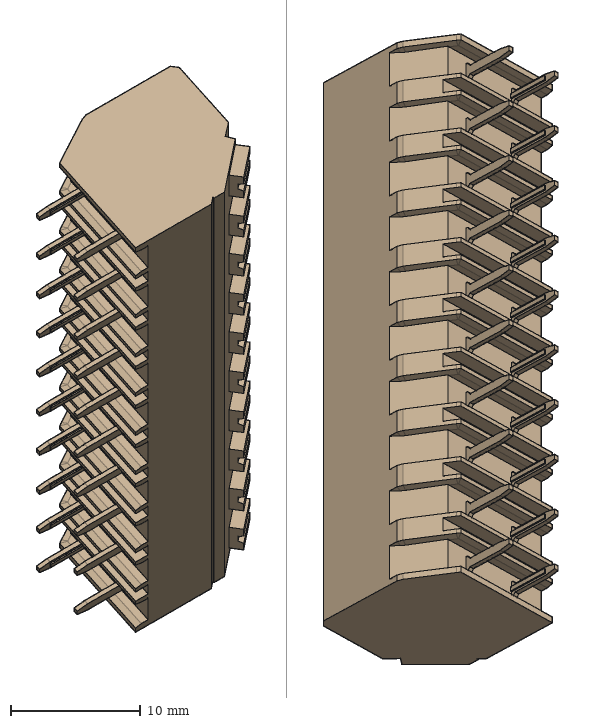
import cadquery as cq
import math

LENGTH = 49.9
WIDTH = 12.7
DEPTH = 12.95
POLE_COUNT = 10
END_DISTANCE = 2.1
PITCH = (LENGTH - 2 * END_DISTANCE) / (POLE_COUNT - 1)

BEVEL_CORNER = [(0, 4.4), (0.175, 3.9), (2.4, 0.3), (2.6, 0)]

BACK_CHAMFER = 0.5
LEVER_SEAT = (8.65, 12.45)
NOTCH_BOTTOM = (8.0, 11.95)
NOTCH_BACK = (7.05, DEPTH)
SLOPE_END = (12.35, 8.75)
STEP_TOP = 7.75
STEP_BOTTOM = 7.25
STEP_INNER_X = WIDTH - (STEP_TOP - STEP_BOTTOM)

FLOOR_Y = 1.2
POCKET_FRONT_X = 2.4
POCKET_SIDE_Y = 5.25
POCKET_HEIGHT = 3.1
WALL_CHAMFER_HEIGHT = 0.15
WALL_CHAMFER_WIDTH = 0.55
GROOVE_HEIGHT = 1.2

LEVER_ANGLE = -45.0
LEVER_LENGTH = 3.0
LEVER_RISE = 1.15
LEVER_ROOT = 0.25
LEVER_HEIGHT = 2.7
SLOT_DEPTH = 0.45
SLOT_TOP_WIDTH = 0.95
SLOT_FLOOR_WIDTH = 0.55

PIN_OUTER_FACES = [(4.4, 1), (9.8, -1)]
PIN_ROOT_Y = 1.7
PIN_FOOT_Y = 1.05
PIN_NECK_Y = 0.8
PIN_TAPER_Y = -2.5
PIN_TIP_Y = -3.5
PIN_THICKNESS = 0.4
PIN_FOOT_HEIGHT = 1.45
PIN_HEIGHT = 0.8
PIN_TIP_HEIGHT = 0.45
RIB_THICKNESS = 0.125
RIB_HEIGHT = 0.4

MARGIN = 2.0

pole_heights = [END_DISTANCE + i * PITCH for i in range(POLE_COUNT)]
groove_heights = [z + PITCH / 2 for z in pole_heights[:-1]]


def make_housing():
    outline = BEVEL_CORNER + [
        (WIDTH, 0),
        (WIDTH, STEP_BOTTOM),
        (STEP_INNER_X, STEP_TOP),
        (SLOPE_END[0], STEP_TOP),
        SLOPE_END,
        LEVER_SEAT,
        NOTCH_BOTTOM,
        NOTCH_BACK,
        (BACK_CHAMFER, DEPTH),
        (0, DEPTH - BACK_CHAMFER),
    ]
    return cq.Workplane("XY").polyline(outline).close().extrude(LENGTH)


def make_wall_pad():
    """Wall surface on the pocket floor side, its outer edge chamfered; base at Z = 0."""
    outline = BEVEL_CORNER + [(WIDTH + MARGIN, 0), (WIDTH + MARGIN, DEPTH), (0, DEPTH)]
    chamfer_angle = math.degrees(math.atan2(WALL_CHAMFER_WIDTH, WALL_CHAMFER_HEIGHT))
    return cq.Workplane("XY").polyline(outline).close().extrude(WALL_CHAMFER_HEIGHT, taper=chamfer_angle)


def make_pole_pocket():
    """Cutting tool for one pole, centred on Z = 0."""
    bevel_slope = (POCKET_SIDE_Y - FLOOR_Y) / POCKET_FRONT_X
    outline = [
        (POCKET_FRONT_X, FLOOR_Y),
        (WIDTH + MARGIN / 2, FLOOR_Y),
        (WIDTH + MARGIN / 2, -MARGIN),
        (-MARGIN, -MARGIN),
        (-MARGIN, POCKET_SIDE_Y + MARGIN * bevel_slope),
    ]
    pocket = cq.Workplane("XY").polyline(outline).close().extrude(POCKET_HEIGHT / 2, both=True)
    lower_pad = make_wall_pad().translate((0, 0, -POCKET_HEIGHT / 2))
    upper_pad = lower_pad.mirror("XY")
    return pocket.cut(lower_pad).cut(upper_pad)


def make_groove():
    return cq.Workplane("XY").box(2 * (WIDTH + MARGIN), 2 * FLOOR_Y, GROOVE_HEIGHT)


def make_lever():
    """Lever with a screwdriver slot along its top, rooted in the housing slope."""
    slot_floor = LEVER_RISE - SLOT_DEPTH
    section = [
        (-LEVER_ROOT, -LEVER_HEIGHT / 2),
        (LEVER_RISE, -LEVER_HEIGHT / 2),
        (LEVER_RISE, -SLOT_TOP_WIDTH / 2),
        (slot_floor, -SLOT_FLOOR_WIDTH / 2),
        (slot_floor, SLOT_FLOOR_WIDTH / 2),
        (LEVER_RISE, SLOT_TOP_WIDTH / 2),
        (LEVER_RISE, LEVER_HEIGHT / 2),
        (-LEVER_ROOT, LEVER_HEIGHT / 2),
    ]
    lever = cq.Workplane("YZ").polyline(section).close().extrude(LEVER_LENGTH)
    return lever.rotate((0, 0, 0), (0, 0, 1), LEVER_ANGLE).translate((*LEVER_SEAT, 0))


def make_pin(outer_x, inward):
    """Flat pin with a flared foot, a tapered tip and a stiffening rib on its inner face."""
    upper_edge = [
        (PIN_ROOT_Y, PIN_FOOT_HEIGHT / 2),
        (PIN_FOOT_Y, PIN_FOOT_HEIGHT / 2),
        (PIN_NECK_Y, PIN_HEIGHT / 2),
        (PIN_TAPER_Y, PIN_HEIGHT / 2),
        (PIN_TIP_Y, PIN_TIP_HEIGHT / 2),
    ]
    lower_edge = [(y, -z) for y, z in reversed(upper_edge)]
    blade = cq.Workplane("YZ").polyline(upper_edge + lower_edge).close().extrude(inward * PIN_THICKNESS)
    rib_length = PIN_ROOT_Y - PIN_TAPER_Y
    rib = (
        cq.Workplane("YZ")
        .center(PIN_TAPER_Y + rib_length / 2, 0)
        .rect(rib_length, RIB_HEIGHT)
        .extrude(inward * (PIN_THICKNESS + RIB_THICKNESS))
    )
    return blade.union(rib).translate((outer_x, 0, 0))


result = make_housing()

pocket = make_pole_pocket()
for z in pole_heights:
    result = result.cut(pocket.translate((0, 0, z)))

groove = make_groove()
for z in groove_heights:
    result = result.cut(groove.translate((0, 0, z)))

pole_parts = [make_lever()] + [make_pin(outer_x, inward) for outer_x, inward in PIN_OUTER_FACES]
for z in pole_heights:
    for part in pole_parts:
        result = result.union(part.translate((0, 0, z)))